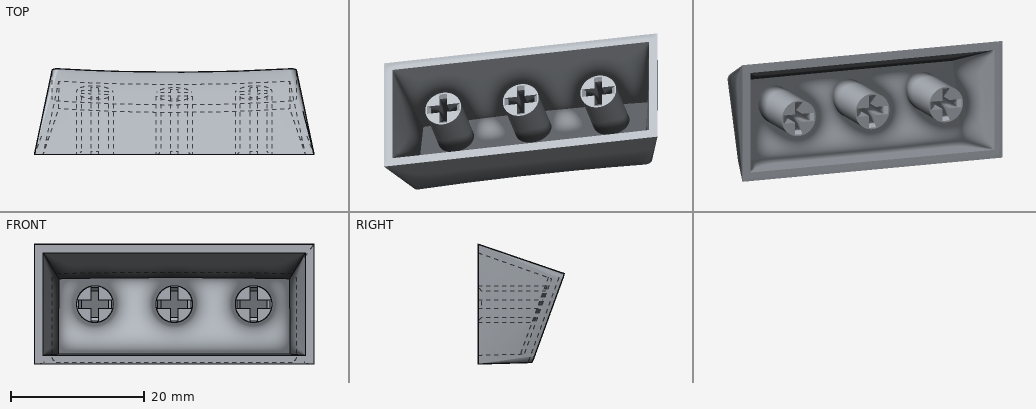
import cadquery as cq
import math

base_width = 42.0
base_height = 18.0
base_corner_radius = 0.02

top_width = 36.7
top_height = 14.2
top_corner_radius = 1.0
top_tilt = 20.0
top_center_y = 10.53
top_center_z = -2.1

dish_depth = 0.6

rim_wall = 1.32
top_wall = 1.5
cavity_top_width = 34.62
cavity_top_upper_z = 3.78
cavity_top_lower_z = -7.5

stem_diameter = 5.5
stem_pitch = 11.9
stem_count = 3
stem_mouth_y = 0.0
cross_length = 4.0
upright_bar_width = 1.14
level_bar_width = 1.27
cross_chamfer = 0.5

tilt = math.radians(top_tilt)
top_normal = cq.Vector(0, math.cos(tilt), -math.sin(tilt))
top_center = cq.Vector(0, top_center_y, top_center_z)
dish_radius = ((top_width / 2) ** 2 + dish_depth**2) / (2 * dish_depth)
beyond_top = 2 * top_center_y


def plane_facing(center, normal):
    """Plane with its local x along X and its local y pointing down the key."""
    return cq.Plane(origin=center.toTuple(), xDir=(1, 0, 0), normal=normal.toTuple())


def y_plane(y):
    return plane_facing(cq.Vector(0, y, 0), cq.Vector(0, 1, 0))


def rectangle_wire(plane, width, height, corner_radius=0.0):
    wire = cq.Workplane(plane).rect(width, height).wires().val()
    if corner_radius > 0:
        wire = wire.fillet2D(corner_radius, wire.Vertices())
    return wire


def ruled_loft(start_wire, end_wire):
    return cq.Workplane(cq.Solid.makeLoft([start_wire, end_wire], True))


def dish_cylinder(offset):
    """Dish cylinder, grown by offset so that it also shapes the underside of the top wall."""
    axis_center = top_center + top_normal * (dish_radius - dish_depth)
    return (
        cq.Workplane(plane_facing(axis_center, top_normal))
        .transformed(rotate=(90, 0, 0))
        .circle(dish_radius + offset)
        .extrude(base_height, both=True)
    )


def make_outer_body():
    base = rectangle_wire(y_plane(0), base_width, base_height, base_corner_radius)
    top = rectangle_wire(plane_facing(top_center, top_normal), top_width, top_height, top_corner_radius)
    return ruled_loft(base, top).cut(dish_cylinder(0))


def make_cavity():
    base = rectangle_wire(y_plane(0), base_width - 2 * rim_wall, base_height - 2 * rim_wall)
    middle_z = (cavity_top_upper_z + cavity_top_lower_z) / 2
    plane_point = top_center - top_normal * top_wall
    middle_y = plane_point.y + (middle_z - plane_point.z) * math.tan(tilt)
    length = (cavity_top_upper_z - cavity_top_lower_z) / math.cos(tilt)
    cavity_plane = plane_facing(cq.Vector(0, middle_y, middle_z), top_normal)
    top = rectangle_wire(cavity_plane, cavity_top_width, length)
    return ruled_loft(base, top).cut(dish_cylinder(top_wall))


def socket_bar(width):
    """Level bar of the cross socket, flared at both ends of its mouth."""
    half = cross_length / 2
    flare = half + cross_chamfer
    points = [
        (-flare, stem_mouth_y),
        (flare, stem_mouth_y),
        (half, stem_mouth_y + cross_chamfer),
        (half, beyond_top),
        (-half, beyond_top),
        (-half, stem_mouth_y + cross_chamfer),
    ]
    return cq.Workplane("XY").polyline(points).close().extrude(width / 2, both=True)


def make_stem():
    level_bar = socket_bar(level_bar_width)
    upright_bar = socket_bar(upright_bar_width).rotate((0, 0, 0), (0, 1, 0), 90)
    stem = cq.Workplane(y_plane(stem_mouth_y)).circle(stem_diameter / 2).extrude(beyond_top)
    return stem.cut(level_bar).cut(upright_bar)


def make_key():
    cavity = make_cavity()
    key = make_outer_body().cut(cavity)
    stem = make_stem()
    for index in range(stem_count):
        x = (index - (stem_count - 1) / 2) * stem_pitch
        key = key.union(stem.translate((x, 0, 0)).intersect(cavity))
    return key


result = make_key()